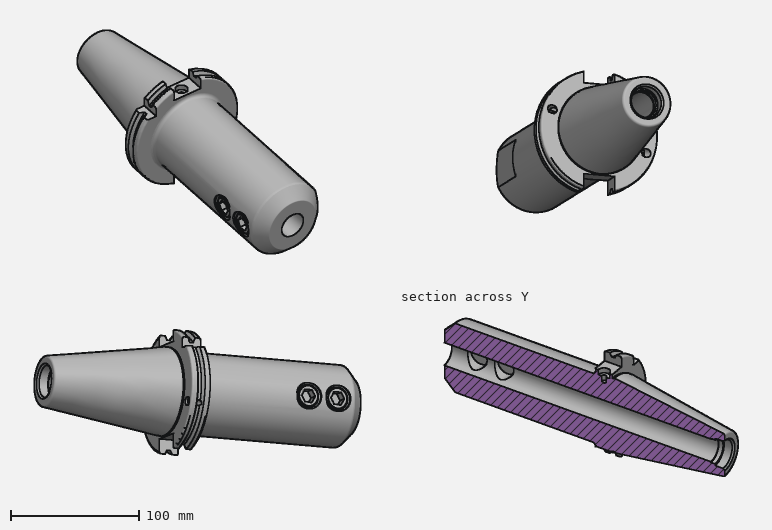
import cadquery as cq
import math


GAUGE_RADIUS = 69.85 / 2
TAPER_LENGTH = 101.75
TAPER_SLOPE = 7 / 48
TAPER_END_RADIUS = GAUGE_RADIUS - TAPER_LENGTH * TAPER_SLOPE
TAPER_END_ROUND = 2.0

COLLAR_END = 2.0
RELIEF_RADIUS = 34.3

FLANGE_RADIUS = 97.5 / 2
FLANGE_START = 3.2
FLANGE_END = 19.1
FLANGE_ROUND = 1.5
GROOVE_CENTRE = 11.1
GROOVE_BOTTOM_RADIUS = 91.25 / 2
GROOVE_BOTTOM_WIDTH = 2.6
GROOVE_HALF_ANGLE = math.radians(30)

SLOT_WIDTH = 25.7
TOP_SLOT_FLOOR = 37.7
BOTTOM_SLOT_FLOOR = 35.3
NOTCH_CORNER = 30.0

CHIP_RADIUS = 5.0
CHIP_DEPTH = 4.6
PILOT_RADIUS = 2.0
PILOT_DEPTH = 5.0
DRILL_HALF_ANGLE = math.radians(59)

COOLANT_RADIUS = 3.3
COOLANT_PITCH_RADIUS = 41.7
COOLANT_ANGLE = 20.0
COOLANT_DEPTH = 5.0
COOLANT_TILT = 30.0
CROSS_HOLE_RADIUS = 2.2
CROSS_HOLE_DEPTH = 8.0

DIMPLE_RADIUS = 1.5
DIMPLE_DEPTH = 3.0
DIMPLE_ANGLE = 60.0

BODY_RADIUS = 32.5
BODY_END = 160.0
NECK_ROUND = 3.0
NOSE_CHAMFER = 10.0
NOSE_BACK_ROUND = 2.5
NOSE_FRONT_ROUND = 1.0

FLAT_Y = 29.0
FLAT_START = 110.8
FLAT_END_RUN = 2.4

BORE_RADIUS = 10.4
COUNTERBORE_RADIUS = 12.5
COUNTERBORE_DEPTH = 9.0
INNER_BORE_RADIUS = 11.0
INNER_BORE_DEPTH = 13.0
MOUTH_RADIUS = 14.0
MOUTH_DEPTH = 1.5

SCREW_X = (111.0, 136.0)
SCREW_RADIUS = 9.0
SCREW_HEAD_Y = -31.0
SCREW_CHAMFER = 1.0
SCREW_SEAT_Y = -15.0
HOLE_MOUTH_RADIUS = 10.5
HEX_WIDTH = 10.0
HEX_DEPTH = 8.0

EDGE_MARGIN = 0.1


def revolve_about_x(profile):
    """Turn a closed profile, drawn beside the X axis, about that axis."""
    return profile.close().revolve(360, (0, 0, 0), (1, 0, 0))


def round_circle(solid, x, radius, size):
    """Fillet the circular edge of the given radius that lies round the axis at x."""
    reach = radius + EDGE_MARGIN
    box = cq.selectors.BoxSelector(
        (x - EDGE_MARGIN, -reach, -reach), (x + EDGE_MARGIN, reach, reach), boundingbox=True
    )
    outermost = cq.selectors.RadiusNthSelector(-1)
    return solid.edges(box).edges("%CIRCLE").edges(outermost).fillet(size)


def shank():
    """Taper, collar, relief, flange blank and body as one turned solid."""
    blank = (
        cq.Workplane("XZ")
        .moveTo(-TAPER_LENGTH, 0)
        .lineTo(-TAPER_LENGTH, TAPER_END_RADIUS)
        .lineTo(0, GAUGE_RADIUS)
        .lineTo(COLLAR_END, GAUGE_RADIUS)
        .lineTo(COLLAR_END, RELIEF_RADIUS)
        .lineTo(FLANGE_START, RELIEF_RADIUS)
        .lineTo(FLANGE_START, FLANGE_RADIUS)
        .lineTo(FLANGE_END, FLANGE_RADIUS)
        .lineTo(FLANGE_END, BODY_RADIUS)
        .lineTo(BODY_END - NOSE_CHAMFER, BODY_RADIUS)
        .lineTo(BODY_END, BODY_RADIUS - NOSE_CHAMFER)
        .lineTo(BODY_END, 0)
    )
    blank = revolve_about_x(blank)
    rounds = [
        (-TAPER_LENGTH, TAPER_END_RADIUS, TAPER_END_ROUND),
        (FLANGE_START, FLANGE_RADIUS, FLANGE_ROUND),
        (FLANGE_END, FLANGE_RADIUS, FLANGE_ROUND),
        (FLANGE_END, BODY_RADIUS, NECK_ROUND),
        (BODY_END - NOSE_CHAMFER, BODY_RADIUS, NOSE_BACK_ROUND),
        (BODY_END, BODY_RADIUS - NOSE_CHAMFER, NOSE_FRONT_ROUND),
    ]
    for x, radius, size in rounds:
        blank = round_circle(blank, x, radius, size)
    return blank


def rim_groove():
    """V groove with a flat bottom, open past the rim."""
    outside = FLANGE_RADIUS + 1
    half_bottom = GROOVE_BOTTOM_WIDTH / 2
    half_top = half_bottom + (outside - GROOVE_BOTTOM_RADIUS) * math.tan(GROOVE_HALF_ANGLE)
    section = (
        cq.Workplane("XZ")
        .moveTo(GROOVE_CENTRE - half_top, outside)
        .lineTo(GROOVE_CENTRE - half_bottom, GROOVE_BOTTOM_RADIUS)
        .lineTo(GROOVE_CENTRE + half_bottom, GROOVE_BOTTOM_RADIUS)
        .lineTo(GROOVE_CENTRE + half_top, outside)
    )
    return revolve_about_x(section)


def flange_block(y_low, y_high, z_low, z_high):
    """Box through the full thickness of the flange."""
    return cq.Workplane("XY").box(
        FLANGE_END - FLANGE_START, y_high - y_low, z_high - z_low, centered=False
    ).translate((FLANGE_START, y_low, z_low))


def flange_cutouts():
    half = SLOT_WIDTH / 2
    top_slot = flange_block(-half, half, TOP_SLOT_FLOOR, FLANGE_RADIUS)
    bottom_slot = flange_block(-half, half, -FLANGE_RADIUS, -BOTTOM_SLOT_FLOOR)
    notch = flange_block(-FLANGE_RADIUS, -NOTCH_CORNER, NOTCH_CORNER, FLANGE_RADIUS)
    return [top_slot, bottom_slot, notch]


def chip_hole():
    """Stepped hole with a drilled tip, sunk into the top slot floor."""
    step = TOP_SLOT_FLOOR - CHIP_DEPTH
    pilot_end = step - PILOT_DEPTH
    tip = pilot_end - PILOT_RADIUS / math.tan(DRILL_HALF_ANGLE)
    return (
        cq.Workplane("XZ")
        .moveTo(0, TOP_SLOT_FLOOR)
        .lineTo(CHIP_RADIUS, TOP_SLOT_FLOOR)
        .lineTo(CHIP_RADIUS, step)
        .lineTo(PILOT_RADIUS, step)
        .lineTo(PILOT_RADIUS, pilot_end)
        .lineTo(0, tip)
        .close()
        .revolve(360, (0, 0, 0), (0, 1, 0))
        .translate((GROOVE_CENTRE, 0, 0))
    )


def coolant_hole(angle):
    """Blind hole leaning towards the axis, met by a radial cross hole from the rim groove."""
    tip = COOLANT_RADIUS / math.tan(DRILL_HALF_ANGLE)
    inclined = (
        cq.Workplane("XY")
        .moveTo(-COOLANT_RADIUS, 0)
        .lineTo(-COOLANT_RADIUS, COOLANT_RADIUS)
        .lineTo(COOLANT_DEPTH, COOLANT_RADIUS)
        .lineTo(COOLANT_DEPTH + tip, 0)
    )
    inclined = (
        revolve_about_x(inclined)
        .rotate((0, 0, 0), (0, 0, 1), -COOLANT_TILT)
        .translate((FLANGE_START, COOLANT_PITCH_RADIUS, 0))
    )
    cross_hole = radial_hole(CROSS_HOLE_RADIUS, CROSS_HOLE_DEPTH)
    return inclined.union(cross_hole).rotate((0, 0, 0), (1, 0, 0), angle)


def radial_hole(radius, depth):
    """Hole on the +Y side, sunk from the bottom of the rim groove towards the axis."""
    plane = cq.Workplane("XZ", origin=(GROOVE_CENTRE, FLANGE_RADIUS, 0))
    return plane.circle(radius).extrude(FLANGE_RADIUS - GROOVE_BOTTOM_RADIUS + depth)


def groove_dimple():
    return radial_hole(DIMPLE_RADIUS, DIMPLE_DEPTH).rotate((0, 0, 0), (1, 0, 0), DIMPLE_ANGLE)


def back_flat():
    """Wedge-ended block that leaves a flat on the +Y side of the body."""
    rise = BODY_RADIUS - FLAT_Y
    return (
        cq.Workplane("XY")
        .moveTo(FLAT_START, FLAT_Y)
        .lineTo(FLAT_START - FLAT_END_RUN, FLAT_Y + rise)
        .lineTo(BODY_END, FLAT_Y + rise)
        .lineTo(BODY_END, FLAT_Y)
        .close()
        .extrude(BODY_RADIUS, both=True)
    )


def axial_bore():
    """Through bore, stepped and chamfered at the taper end."""
    back = -TAPER_LENGTH
    return revolve_about_x(
        cq.Workplane("XZ")
        .moveTo(back, 0)
        .lineTo(back, MOUTH_RADIUS)
        .lineTo(back + MOUTH_DEPTH, COUNTERBORE_RADIUS)
        .lineTo(back + COUNTERBORE_DEPTH, COUNTERBORE_RADIUS)
        .lineTo(back + COUNTERBORE_DEPTH, INNER_BORE_RADIUS)
        .lineTo(back + INNER_BORE_DEPTH, INNER_BORE_RADIUS)
        .lineTo(back + INNER_BORE_DEPTH, BORE_RADIUS)
        .lineTo(BODY_END, BORE_RADIUS)
        .lineTo(BODY_END, 0)
    )


def screw_hole(x):
    """Hole for a clamping screw, from the -Y side into the bore, with a chamfered mouth."""
    mouth = HOLE_MOUTH_RADIUS - SCREW_RADIUS
    return (
        cq.Workplane("XY")
        .moveTo(0, 0)
        .lineTo(SCREW_RADIUS, 0)
        .lineTo(SCREW_RADIUS, -BODY_RADIUS + 2 * mouth)
        .lineTo(HOLE_MOUTH_RADIUS, -BODY_RADIUS + mouth)
        .lineTo(HOLE_MOUTH_RADIUS, -BODY_RADIUS)
        .lineTo(0, -BODY_RADIUS)
        .close()
        .revolve(360, (0, 0, 0), (0, 1, 0))
        .translate((x, 0, 0))
    )


def make_holder():
    holder = shank().cut(rim_groove())
    for cutout in flange_cutouts():
        holder = holder.cut(cutout)
    holder = holder.cut(chip_hole()).cut(groove_dimple()).cut(back_flat()).cut(axial_bore())
    for angle in (COOLANT_ANGLE, COOLANT_ANGLE + 180):
        holder = holder.cut(coolant_hole(angle))
    for x in SCREW_X:
        holder = holder.cut(screw_hole(x))
    return holder


def make_clamp_screw(x):
    """Set screw with a hexagon socket in its outer end."""
    length = SCREW_SEAT_Y - SCREW_HEAD_Y
    screw = cq.Workplane("XZ", origin=(x, SCREW_SEAT_Y, 0)).circle(SCREW_RADIUS).extrude(length)
    screw = screw.faces("<Y").edges().chamfer(SCREW_CHAMFER)
    hex_diameter = HEX_WIDTH / math.cos(math.pi / 6)
    socket = (
        cq.Workplane("XZ", origin=(x, SCREW_HEAD_Y + HEX_DEPTH, 0))
        .polygon(6, hex_diameter)
        .extrude(HEX_DEPTH)
    )
    return screw.cut(socket)


holder = make_holder()
clamp_screws = [make_clamp_screw(x) for x in SCREW_X]

result = cq.Compound.makeCompound([holder.val(), *[screw.val() for screw in clamp_screws]])